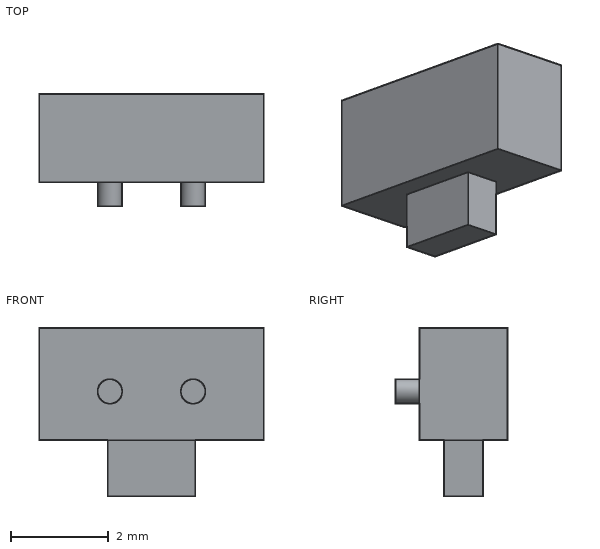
import cadquery as cq

body_length = 4.6
body_depth = 1.81
body_height = 2.3

actuator_length = 1.8
actuator_depth = 0.8
actuator_height = 1.15

overall_depth = 2.3
pin_length = overall_depth - body_depth
pin_diameter = 0.5
pin_spacing = 1.7
pin_drop = 0.15
pin_height = body_height / 2 - pin_drop

body = cq.Workplane("XY").box(body_length, body_depth, body_height, centered=(True, True, False))

actuator = cq.Workplane("XY").rect(actuator_length, actuator_depth).extrude(-actuator_height)

pins = (
    cq.Workplane("XZ", origin=(0, -body_depth / 2, pin_height))
    .pushPoints([(-pin_spacing / 2, 0), (pin_spacing / 2, 0)])
    .circle(pin_diameter / 2)
    .extrude(pin_length)
)

result = body.union(actuator).union(pins)